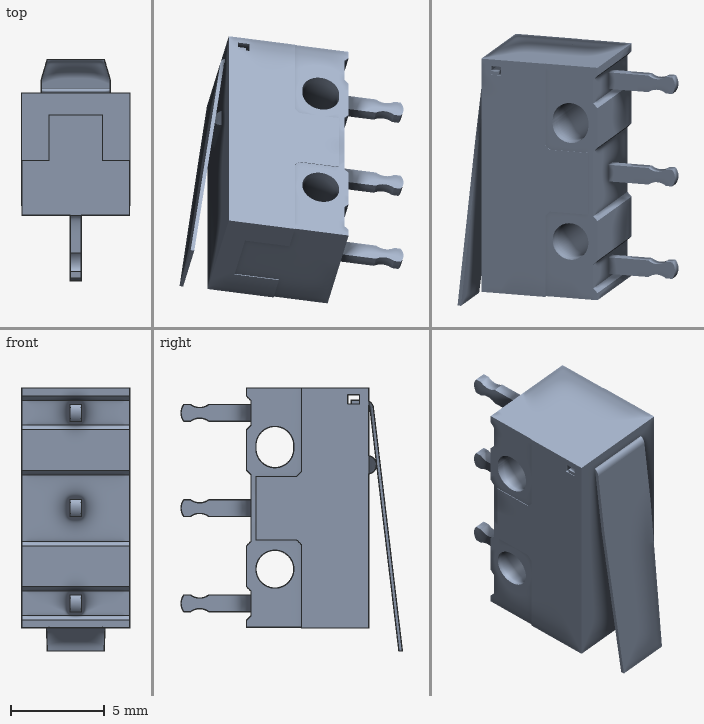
import cadquery as cq
import math


cover_width = 5.8
cover_height = 12.8
cover_depth = 3.59
mid_z = cover_height / 2
flap_end_y = -6.0
flap_height = 3.39
flap_root_chamfer = 0.25

window_front_y = -0.5
window_back_y = -1.12
window_bottom_z = 11.96
window_height = 0.48

base_width = 5.75
base_bottom_z = 0.04
base_back_y = -6.52
tongue_width = 2.86
tongue_front_y = -1.18
notch_depth = 0.24
end_notch_width = 1.78
middle_notch_width = 4.02

hole_y = -5.0
hole_spacing = 6.5
hole_diameter = 2.0
slot_length = 2.19

terminal_pitch = 5.08
terminal_height = 0.91
terminal_thickness = 0.6
terminal_end_y = -10.01
tip_bulge = 0.15
neck_start_y = -8.52
neck_end_y = -9.5
neck_depth = 0.17

lever_thickness = 0.2
lever_tilt = math.radians(6.8)
lever_tip_y = 1.8
lever_tip_z = -1.22
lever_width = 3.69
lever_tip_width = 3.04
taper_start_z = 7.94
hook_end_y = -0.94
hook_bar_width = 5.75
bend_inner_radius = 0.27
bend_outer_radius = bend_inner_radius + lever_thickness
bend_z = window_bottom_z - bend_inner_radius
bend_y = (lever_tip_y - (bend_z - lever_tip_z) * math.tan(lever_tilt)
          - bend_outer_radius / math.cos(lever_tilt))

plunger_radius = 0.49
plunger_z = 8.7
plunger_root_width = 1.96
plunger_end_slope = math.radians(30)
plunger_y = (bend_y + (bend_z - plunger_z) * math.tan(lever_tilt)
             + (bend_inner_radius - plunger_radius) / math.cos(lever_tilt))


def side_profile():
    """Sketch plane whose axes are Y and Z."""
    return cq.Workplane("YZ")


def box(width, y_back, y_front, z_bottom, z_top):
    """Block centred on X between the given Y and Z limits."""
    return (
        side_profile()
        .moveTo(y_back, z_bottom)
        .lineTo(y_front, z_bottom)
        .lineTo(y_front, z_top)
        .lineTo(y_back, z_top)
        .close()
        .extrude(width / 2, both=True)
    )


def bend_point(radius, angle):
    """Point on a circle around the lever's bend, the angle measured from +Y toward +Z."""
    return (bend_y + radius * math.cos(angle), bend_z + radius * math.sin(angle))


def make_lever():
    """Flat strip: a wide hook bar in the window, a round bend and an arm that narrows to its tip."""
    hook_angle = math.pi / 2
    arm_angle = lever_tilt
    middle_angle = (hook_angle + arm_angle) / 2
    inner_tip_y = lever_tip_y - lever_thickness / math.cos(lever_tilt)
    strip = (
        side_profile()
        .moveTo(hook_end_y, window_bottom_z)
        .lineTo(*bend_point(bend_inner_radius, hook_angle))
        .threePointArc(bend_point(bend_inner_radius, middle_angle), bend_point(bend_inner_radius, arm_angle))
        .lineTo(inner_tip_y, lever_tip_z)
        .lineTo(lever_tip_y, lever_tip_z)
        .lineTo(*bend_point(bend_outer_radius, arm_angle))
        .threePointArc(bend_point(bend_outer_radius, middle_angle), bend_point(bend_outer_radius, hook_angle))
        .lineTo(hook_end_y, window_bottom_z + lever_thickness)
        .close()
        .extrude(lever_width / 2, both=True)
    )
    outline = (
        cq.Workplane("XZ")
        .moveTo(-lever_tip_width / 2, lever_tip_z)
        .lineTo(lever_tip_width / 2, lever_tip_z)
        .lineTo(lever_width / 2, taper_start_z)
        .lineTo(lever_width / 2, cover_height)
        .lineTo(-lever_width / 2, cover_height)
        .lineTo(-lever_width / 2, taper_start_z)
        .close()
        .extrude(cover_depth, both=True)
    )
    hook_top_z = window_bottom_z + lever_thickness
    hook_bar = box(hook_bar_width, hook_end_y, window_front_y, window_bottom_z, hook_top_z)
    return strip.intersect(outline).union(hook_bar)


def make_plunger():
    """Rounded nub on the cover, its two ends sloping inward."""
    height = plunger_y + plunger_radius
    top_width = plunger_root_width - 2 * height * math.tan(plunger_end_slope)
    cylinder = (
        side_profile()
        .center(plunger_y, plunger_z)
        .circle(plunger_radius)
        .extrude(plunger_root_width / 2, both=True)
    )
    nub = (
        cq.Workplane("XY", origin=(0, 0, plunger_z))
        .moveTo(-plunger_root_width / 2, 0)
        .lineTo(plunger_root_width / 2, 0)
        .lineTo(top_width / 2, height)
        .lineTo(-top_width / 2, height)
        .close()
        .extrude(plunger_radius, both=True)
    )
    return cylinder.intersect(nub)


def make_base_blank():
    """T-shaped block: a tongue inside the cover and a full-width back with room for the flaps."""
    tongue = box(tongue_width, base_back_y, tongue_front_y, base_bottom_z, cover_height)
    back = box(base_width, base_back_y, -cover_depth, base_bottom_z, cover_height)
    return back.cut(make_flaps()).union(tongue)


def make_flaps():
    """Middle extension of the cover, wider at its root by a chamfer."""
    half_height = flap_height / 2
    root_half_height = half_height + flap_root_chamfer
    return (
        side_profile()
        .moveTo(-cover_depth, mid_z - root_half_height)
        .lineTo(-cover_depth - flap_root_chamfer, mid_z - half_height)
        .lineTo(flap_end_y, mid_z - half_height)
        .lineTo(flap_end_y, mid_z + half_height)
        .lineTo(-cover_depth - flap_root_chamfer, mid_z + half_height)
        .lineTo(-cover_depth, mid_z + root_half_height)
        .close()
        .extrude(cover_width / 2, both=True)
    )


def make_cover(lever):
    """Shell around the base tongue, with side flaps, plunger, window and the lever's slot."""
    block = box(cover_width, -cover_depth, 0, 0, cover_height).union(make_flaps())
    tongue_pocket = box(tongue_width, flap_end_y, tongue_front_y, 0, cover_height)
    window = box(cover_width, window_back_y, window_front_y, window_bottom_z, window_bottom_z + window_height)
    return block.cut(tongue_pocket).union(make_plunger()).cut(window).cut(lever)


def make_notch(centre_z, width):
    """Groove across the back of the base with 45 degree walls."""
    return (
        side_profile()
        .moveTo(base_back_y, centre_z - width / 2)
        .lineTo(base_back_y + notch_depth, centre_z - width / 2 + notch_depth)
        .lineTo(base_back_y + notch_depth, centre_z + width / 2 - notch_depth)
        .lineTo(base_back_y, centre_z + width / 2)
        .close()
        .extrude(base_width / 2, both=True)
    )


def make_terminal(centre_z):
    """Flat terminal with a waist near its rounded tip."""
    top = centre_z + terminal_height / 2
    bottom = centre_z - terminal_height / 2
    root_y = base_back_y + notch_depth
    neck_y = (neck_start_y + neck_end_y) / 2
    tip_y = terminal_end_y + tip_bulge
    return (
        side_profile()
        .moveTo(root_y, top)
        .lineTo(neck_start_y, top)
        .threePointArc((neck_y, top - neck_depth), (neck_end_y, top))
        .lineTo(tip_y, top)
        .threePointArc((terminal_end_y, centre_z), (tip_y, bottom))
        .lineTo(neck_end_y, bottom)
        .threePointArc((neck_y, bottom + neck_depth), (neck_start_y, bottom))
        .lineTo(root_y, bottom)
        .close()
        .extrude(terminal_thickness / 2, both=True)
    )


def make_base():
    """Base with mounting holes, back grooves and its three terminals."""
    upper_slot = (
        side_profile()
        .center(hole_y, mid_z + hole_spacing / 2)
        .slot2D(slot_length, hole_diameter, 90)
        .extrude(base_width / 2, both=True)
    )
    lower_hole = (
        side_profile()
        .center(hole_y, mid_z - hole_spacing / 2)
        .circle(hole_diameter / 2)
        .extrude(base_width / 2, both=True)
    )
    base = make_base_blank().cut(upper_slot).cut(lower_hole)
    notch_widths = {-1: end_notch_width, 0: middle_notch_width, 1: end_notch_width}
    for step, width in notch_widths.items():
        terminal_z = mid_z + step * terminal_pitch
        base = base.cut(make_notch(terminal_z, width)).union(make_terminal(terminal_z))
    return base


lever = make_lever()
cover = make_cover(lever)
base = make_base()

result = cq.Compound.makeCompound([*cover.solids().vals(), *base.solids().vals(), *lever.solids().vals()])